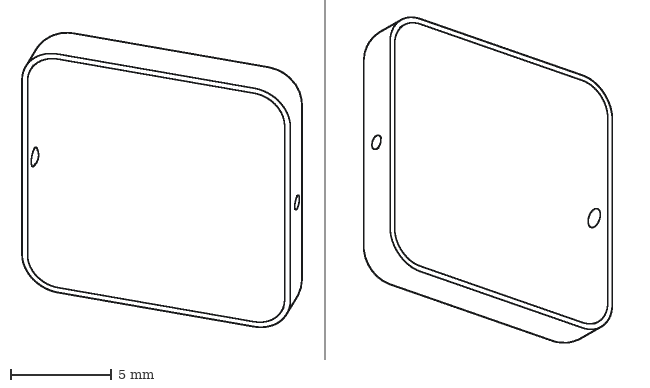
import cadquery as cq
import math

side = 14.1
depth = 3.0
wall = 0.3
corner_radius = 1.9
edge_radius = 1.3

dimple_from_rim = 1.1
dimple_radius = 0.37
dimple_depth = 0.25
bump_radius = 0.5
bump_height = 0.18

rim_y = -depth / 2
floor_y = depth / 2
dimple_y = rim_y + dimple_from_rim


def rounded_block(width, end_y, vertical_radius, floor_radius):
    """Square block from the rim to end_y with its corners and +Y edge rounded."""
    block = (
        cq.Workplane("XZ", origin=(0, rim_y, 0))
        .rect(width, width)
        .extrude(rim_y - end_y)
    )
    return block.edges("|Y").fillet(vertical_radius).faces(">Y").edges().fillet(floor_radius)


def dome(direction, wall_x, base_radius, height):
    """Spherical cap with its flat base at wall_x, rising toward the middle of the tray."""
    sphere_radius = (base_radius**2 + height**2) / (2 * height)
    base_x = direction * wall_x
    tip_x = direction * (wall_x - height)
    center_x = direction * (wall_x - height + sphere_radius)
    half_angle = math.asin(base_radius / sphere_radius) / 2
    mid_x = center_x - direction * sphere_radius * math.cos(half_angle)
    mid_radius = sphere_radius * math.sin(half_angle)
    return (
        cq.Workplane("XY", origin=(0, dimple_y, 0))
        .moveTo(base_x, 0)
        .lineTo(base_x, base_radius)
        .threePointArc((mid_x, mid_radius), (tip_x, 0))
        .close()
        .revolve(360, (0, 0), (1, 0))
    )


outer = rounded_block(side, floor_y, corner_radius, edge_radius)
cavity = rounded_block(side - 2 * wall, floor_y - wall, corner_radius - wall, edge_radius - wall)
result = outer.cut(cavity)

for direction in (-1, 1):
    bump = dome(direction, side / 2 - wall, bump_radius, bump_height)
    dimple = dome(direction, side / 2, dimple_radius, dimple_depth)
    result = result.union(bump).cut(dimple)